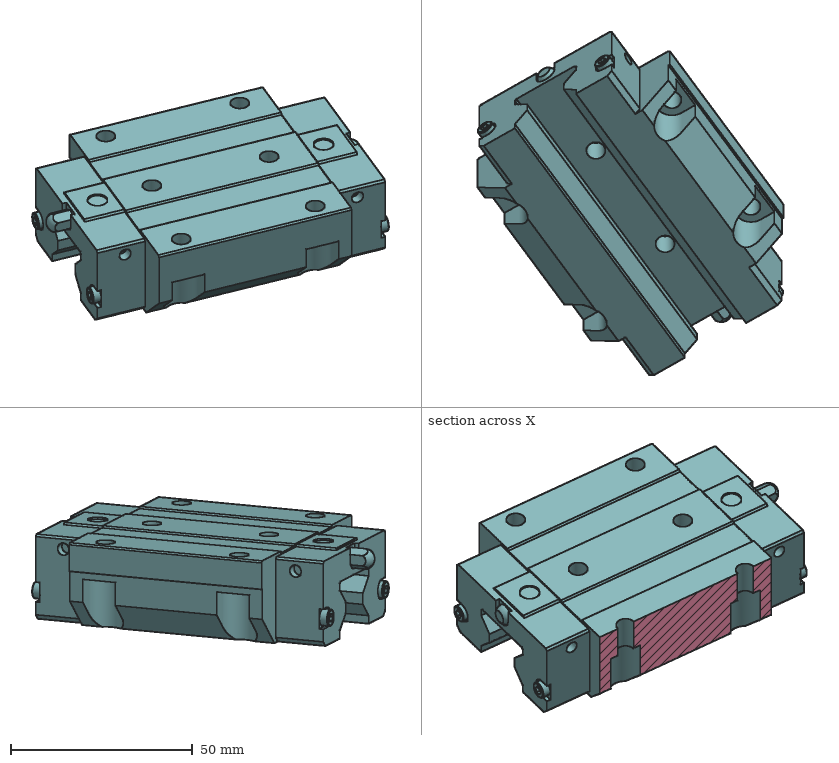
import cadquery as cq
import math

carriage_length = 57.5
half_width = 31.5
height = 25.0
datum_step = 0.5
datum_step_z = 17.0
edge_chamfer = 0.5
flank_start_z = 9.0
center_pad_half_width = 8.5
side_pad_inner_x = 17.5
pad_height = 0.5

channel_top_z = 16.0
channel_half_width = 10.0
channel_corner_chamfer = 0.5
lip_half_width = 6.0
lip_upper_z = 9.5
lip_lower_z = 6.3
lip_slope = channel_half_width - lip_half_width

hole_diameter = 5.2
flange_hole_x = 26.5
flange_hole_y = 20.0
center_hole_y = 17.5
spotface_diameter = 9.7
spotface_top_z = 15.0

cap_end_y = 43.0
cap_half_width = 21.7
cap_height = 24.1
cap_top_chamfer = 0.6
cap_bottom_chamfer = 1.5
end_plate_thickness = 2.3
cap_pad_half_width = 7.5
cap_pad_height = 0.55
pad_recess_diameter = 5.5
pad_recess_y = 33.75
pad_recess_depth = 0.5
side_port_diameter = 3.4
side_port_y = 34.7
side_port_z = 20.7
side_port_depth = 3.0

seat_depth = 1.2
seat_y = cap_end_y - seat_depth
screw_x = 19.2
screw_z = 7.85
screw_head_diameter = 4.7
screw_end_y = 44.25
screw_head_chamfer = 0.25
screw_socket_flats = 2.0
screw_socket_depth = 1.0
screw_seat_radius = 2.8

nipple_z = 20.65
nipple_flats = 5.0
nipple_tip_y = 48.84
nipple_dome_radius = 2.95
nipple_seat_radius = 2.95
plug_top_y = 43.85
plug_top_radius = 1.9
plug_shoulder_radius = 2.6

hex_corner_ratio = 2 / math.sqrt(3)


def extrude_along_y(points, y_start, y_end):
    """Prism of an XZ outline between two Y positions."""
    outline = cq.Workplane("XZ", origin=(0, y_start, 0)).polyline(points).close()
    return outline.extrude(y_start - y_end)


def cylinder_along_y(radius, x, z, y_start, y_end):
    return cq.Workplane("XZ", origin=(x, y_start, z)).circle(radius).extrude(y_start - y_end)


def box_between(x_range, y_range, z_range):
    size = [end - start for start, end in (x_range, y_range, z_range)]
    corner = (x_range[0], y_range[0], z_range[0])
    return cq.Workplane("XY").box(*size, centered=False).translate(corner)


def mirrored(points):
    """Close a +X half outline with its mirror image."""
    return points + [(-x, z) for x, z in reversed(points)]


def make_carriage():
    groove_z = height - pad_height
    flank_foot_x = half_width - flank_start_z
    relief_x = half_width - datum_step
    outline = [
        (-flank_foot_x, 0),
        (flank_foot_x, 0),
        (half_width, flank_start_z),
        (half_width, height - edge_chamfer),
        (half_width - edge_chamfer, height),
        (side_pad_inner_x + pad_height, height),
        (side_pad_inner_x, groove_z),
        (center_pad_half_width, groove_z),
        (center_pad_half_width - pad_height, height),
        (-center_pad_half_width + pad_height, height),
        (-center_pad_half_width, groove_z),
        (-side_pad_inner_x, groove_z),
        (-side_pad_inner_x - pad_height, height),
        (-half_width + edge_chamfer, height),
        (-half_width, height - edge_chamfer),
        (-half_width, datum_step_z),
        (-relief_x, datum_step_z),
        (-relief_x, flank_start_z - datum_step),
    ]
    return extrude_along_y(outline, -carriage_length / 2, carriage_length / 2)


def make_caps():
    """Both end caps as one bar running through the carriage, with a raised pad on top."""
    half_outline = [
        (cap_half_width - cap_bottom_chamfer, 0),
        (cap_half_width, cap_bottom_chamfer),
        (cap_half_width, cap_height - cap_top_chamfer),
        (cap_half_width - cap_top_chamfer, cap_height),
    ]
    body = extrude_along_y(mirrored(half_outline), -cap_end_y, cap_end_y)
    pad_top_z = cap_height + cap_pad_height
    half_pad = [
        (cap_pad_half_width, cap_height),
        (cap_pad_half_width - cap_pad_height, pad_top_z),
    ]
    pad_end_y = cap_end_y - end_plate_thickness
    pad = extrude_along_y(mirrored(half_pad), -pad_end_y, pad_end_y)
    return body.union(pad)


def make_channel():
    half_outline = [
        (channel_half_width, 0),
        (channel_half_width, lip_lower_z - lip_slope),
        (lip_half_width, lip_lower_z),
        (lip_half_width, lip_upper_z),
        (channel_half_width, lip_upper_z + lip_slope),
        (channel_half_width, channel_top_z - channel_corner_chamfer),
        (channel_half_width - channel_corner_chamfer, channel_top_z),
    ]
    return extrude_along_y(mirrored(half_outline), -cap_end_y, cap_end_y)


def make_mounting_holes():
    flange_points = [(sx * flange_hole_x, sy * flange_hole_y) for sx in (-1, 1) for sy in (-1, 1)]
    center_points = [(0, -center_hole_y), (0, center_hole_y)]
    holes = cq.Workplane("XY").pushPoints(flange_points + center_points)
    cutter = holes.circle(hole_diameter / 2).extrude(height)
    spotfaces = cq.Workplane("XY").pushPoints(flange_points)
    cutter = cutter.union(spotfaces.circle(spotface_diameter / 2).extrude(spotface_top_z))
    for x, y in flange_points:
        x_range = sorted((x, math.copysign(half_width, x)))
        y_range = (y - spotface_diameter / 2, y + spotface_diameter / 2)
        cutter = cutter.union(box_between(x_range, y_range, (0, spotface_top_z)))
    return cutter


def make_cap_recesses():
    """Round recesses in the cap pads and the blind ports in the cap sides."""
    floor_z = cap_height + cap_pad_height - pad_recess_depth
    recesses = cq.Workplane("XY", origin=(0, 0, floor_z))
    recesses = recesses.pushPoints([(0, -pad_recess_y), (0, pad_recess_y)])
    cutter = recesses.circle(pad_recess_diameter / 2).extrude(pad_recess_depth)
    for side in (-1, 1):
        ports = cq.Workplane("YZ", origin=(side * cap_half_width, 0, side_port_z))
        ports = ports.pushPoints([(-side_port_y, 0), (side_port_y, 0)])
        cutter = cutter.union(ports.circle(side_port_diameter / 2).extrude(-side * side_port_depth))
    return cutter


def make_end_seats(end):
    """Screw seats open to the sides and the nipple seat open to the top, on one end plate."""
    y_inner = end * seat_y
    y_outer = end * cap_end_y
    y_range = sorted((y_inner, y_outer))
    cutter = cylinder_along_y(nipple_seat_radius, 0, nipple_z, y_inner, y_outer)
    nipple_x_range = (-nipple_seat_radius, nipple_seat_radius)
    cutter = cutter.union(box_between(nipple_x_range, y_range, (nipple_z, height)))
    screw_z_range = (screw_z - screw_seat_radius, screw_z + screw_seat_radius)
    for side in (-1, 1):
        x_range = sorted((side * screw_x, side * cap_half_width))
        cutter = cutter.union(cylinder_along_y(screw_seat_radius, side * screw_x, screw_z, y_inner, y_outer))
        cutter = cutter.union(box_between(x_range, y_range, screw_z_range))
    return cutter


def make_screw(side, end):
    head = cylinder_along_y(screw_head_diameter / 2, side * screw_x, screw_z, end * seat_y, end * screw_end_y)
    outer_face = ">Y" if end > 0 else "<Y"
    head = head.faces(outer_face).chamfer(screw_head_chamfer)
    socket = cq.Workplane("XZ", origin=(side * screw_x, end * screw_end_y, screw_z))
    socket = socket.polygon(6, screw_socket_flats * hex_corner_ratio).extrude(end * screw_socket_depth)
    return head.cut(socket)


def make_nipple():
    """Hexagonal grease nipple with corners up and down and a spherical tip."""
    hexagon = cq.Workplane("XZ", origin=(0, -seat_y, nipple_z))
    hexagon = hexagon.transformed(rotate=(0, 0, 90)).polygon(6, nipple_flats * hex_corner_ratio)
    body = hexagon.extrude(nipple_tip_y - seat_y)
    dome_y = -nipple_tip_y + nipple_dome_radius
    envelope = cq.Workplane("XY").sphere(nipple_dome_radius).translate((0, dome_y, nipple_z))
    envelope = envelope.union(cylinder_along_y(nipple_dome_radius, 0, nipple_z, dome_y, -seat_y))
    return body.intersect(envelope)


def make_plug():
    """Domed plug with a flat top, filling the seat in the +Y end plate."""
    profile = cq.Workplane("XY").moveTo(0, seat_y).lineTo(nipple_seat_radius, seat_y)
    profile = profile.threePointArc((plug_shoulder_radius, cap_end_y), (plug_top_radius, plug_top_y))
    profile = profile.lineTo(0, plug_top_y).close()
    return profile.revolve(360, (0, 0, 0), (0, 1, 0)).translate((0, 0, nipple_z))


result = make_carriage().union(make_caps())
result = result.cut(make_channel()).cut(make_mounting_holes()).cut(make_cap_recesses())
for end in (-1, 1):
    result = result.cut(make_end_seats(end))
    for side in (-1, 1):
        result = result.union(make_screw(side, end))
result = result.union(make_nipple()).union(make_plug())